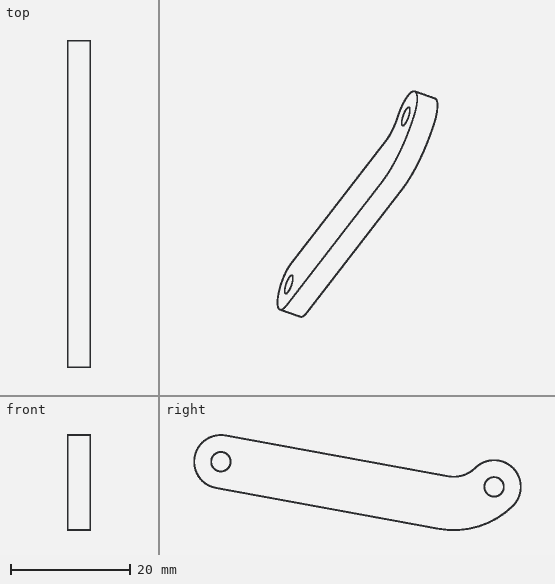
import cadquery as cq
import math

overall_length = 54.7
overall_height = 16.0
thickness = 3.8
half_width = 4.5
hole_diameter = 3.25
hole_rise = 4.2
tilt = math.radians(10.4)
straight_length = 37.85

straight_hole = cq.Vector(-overall_length / 2 + half_width, overall_height / 2 - half_width)
bent_hole = cq.Vector(overall_length / 2 - half_width, straight_hole.y - hole_rise)

arm_direction = cq.Vector(math.cos(tilt), -math.sin(tilt))
arm_normal = cq.Vector(math.sin(tilt), math.cos(tilt))
bend_start = straight_hole + arm_direction * straight_length
bend_chord = bent_hole - bend_start
bend_radius = bend_chord.dot(bend_chord) / (2 * bend_chord.dot(arm_normal))
bend_center = bend_start + arm_normal * bend_radius

to_bend_start = arm_normal * -1
to_bent_hole = (bent_hole - bend_center).normalized()
to_bend_middle = (to_bend_start + to_bent_hole).normalized()
bent_end_direction = cq.Vector(-to_bent_hole.y, to_bent_hole.x)

inner_radius = bend_radius - half_width
outer_radius = bend_radius + half_width


def offset(origin, direction, distance):
    """Return the (Y, Z) point at a distance from origin along a direction."""
    point = origin + direction * distance
    return (point.x, point.y)


outline = (
    cq.Workplane("YZ", origin=(-thickness / 2, 0, 0))
    .moveTo(*offset(straight_hole, arm_normal, half_width))
    .lineTo(*offset(bend_center, to_bend_start, inner_radius))
    .threePointArc(
        offset(bend_center, to_bend_middle, inner_radius),
        offset(bend_center, to_bent_hole, inner_radius),
    )
    .threePointArc(
        offset(bent_hole, bent_end_direction, half_width),
        offset(bend_center, to_bent_hole, outer_radius),
    )
    .threePointArc(
        offset(bend_center, to_bend_middle, outer_radius),
        offset(bend_center, to_bend_start, outer_radius),
    )
    .lineTo(*offset(straight_hole, arm_normal, -half_width))
    .threePointArc(
        offset(straight_hole, arm_direction, -half_width),
        offset(straight_hole, arm_normal, half_width),
    )
    .close()
)
lever = outline.extrude(thickness)

holes = (
    cq.Workplane("YZ", origin=(-thickness / 2, 0, 0))
    .pushPoints([(hole.x, hole.y) for hole in (straight_hole, bent_hole)])
    .circle(hole_diameter / 2)
    .extrude(thickness)
)

result = lever.cut(holes)